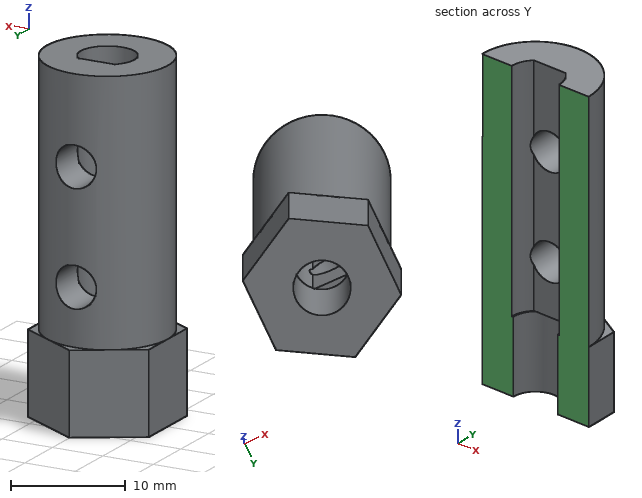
import cadquery as cq
import math

hex_across_flats = 12.0
hex_height = 8.0

sleeve_diameter = 12.0
sleeve_height = 25.0

base_bore_diameter = 5.0
d_bore_diameter = 5.3
d_bore_flat_offset = 1.95

screw_hole_diameter = 4.0
screw_hole_spacing = 11.0
lower_screw_height = hex_height + 5.5
screw_hole_heights = (lower_screw_height, lower_screw_height + screw_hole_spacing)


def make_body():
    """Hexagon with two of its sides facing +X and -X, carrying a coaxial round sleeve."""
    base = (
        cq.Workplane("XY")
        .polygon(6, hex_across_flats, circumscribed=True)
        .extrude(hex_height)
    )
    sleeve = (
        cq.Workplane("XY", origin=(0, 0, hex_height))
        .circle(sleeve_diameter / 2)
        .extrude(sleeve_height)
    )
    return base.union(sleeve)


def make_base_bore():
    """Round bore through the hexagonal base."""
    return cq.Workplane("XY").circle(base_bore_diameter / 2).extrude(hex_height)


def make_d_bore():
    """Bore through the sleeve: a circle cut by a flat on its +Y side."""
    radius = d_bore_diameter / 2
    half_flat = math.sqrt(radius**2 - d_bore_flat_offset**2)
    return (
        cq.Workplane("XY", origin=(0, 0, hex_height))
        .moveTo(-half_flat, d_bore_flat_offset)
        .threePointArc((0, -radius), (half_flat, d_bore_flat_offset))
        .close()
        .extrude(sleeve_height)
    )


def make_screw_hole(height):
    """Radial hole from the bore axis out through the +Y side."""
    return (
        cq.Workplane("XZ", origin=(0, 0, height))
        .circle(screw_hole_diameter / 2)
        .extrude(-sleeve_diameter / 2)
    )


result = make_body().cut(make_base_bore()).cut(make_d_bore())
for hole_height in screw_hole_heights:
    result = result.cut(make_screw_hole(hole_height))